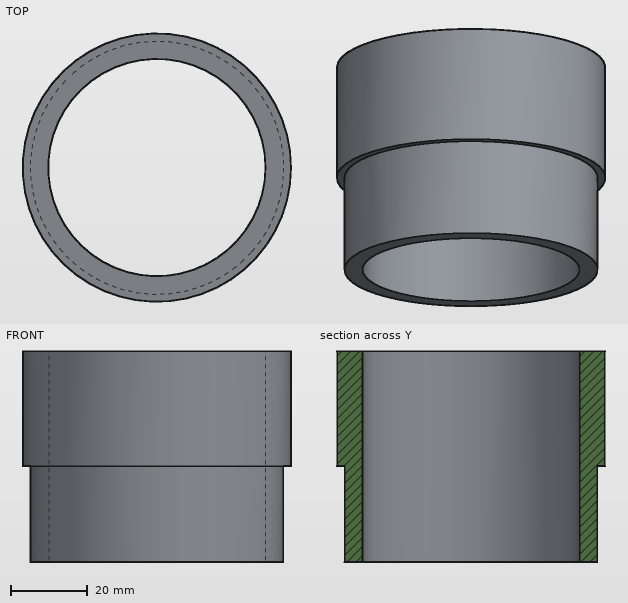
import cadquery as cq

collar_diameter = 70.0
spigot_diameter = 66.0
bore_diameter = 56.55
total_height = 55.0
spigot_height = 25.0
collar_height = total_height - spigot_height

spigot = cq.Workplane("XY").circle(spigot_diameter / 2).extrude(spigot_height)

sleeve = spigot.faces(">Z").workplane().circle(collar_diameter / 2).extrude(collar_height)

bore = cq.Workplane("XY").circle(bore_diameter / 2).extrude(total_height)
result = sleeve.cut(bore)